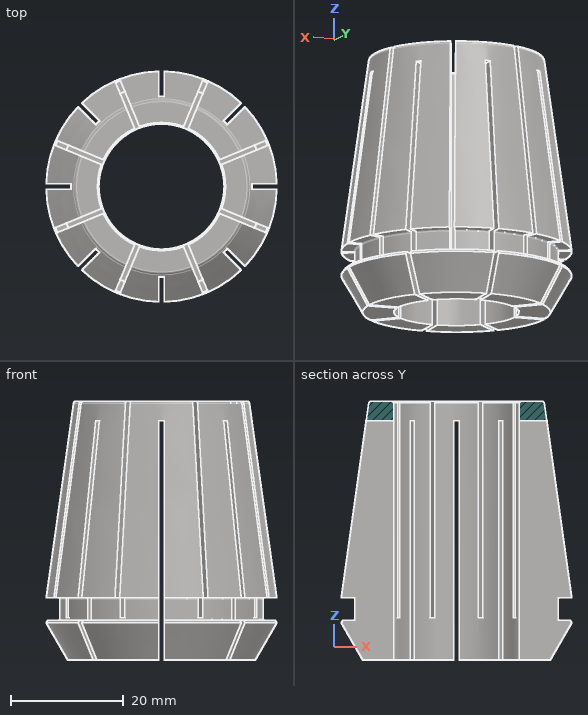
import cadquery as cq
import math

height = 46.0
max_radius = 20.495
bore_radius = 11.11
bore_chamfer = 0.28

cone_half_angle = 8.0
cone_bottom = 11.05
cone_top_radius = max_radius - (height - cone_bottom) * math.tan(math.radians(cone_half_angle))
cone_top_fillet = 0.5

groove_radius = 18.1
groove_bottom = 7.1
groove_root_fillet = 0.15
nose_half_angle = 30.0
rim_chamfer_width = 0.3
rim_chamfer_height = 0.45
rim_height = groove_bottom - rim_chamfer_height
nose_bottom_radius = max_radius - rim_height * math.tan(math.radians(nose_half_angle))

slots_per_end = 8
slot_width = 0.9
bottom_slot_end = 42.45
top_slot_floor = 7.55
slot_pitch = 360.0 / slots_per_end


def make_body():
    """Revolved collet without its slots."""
    profile = (
        cq.Workplane("XZ")
        .moveTo(bore_radius, 0)
        .lineTo(nose_bottom_radius, 0)
        .lineTo(max_radius, rim_height)
        .lineTo(max_radius - rim_chamfer_width, groove_bottom)
        .lineTo(groove_radius, groove_bottom)
        .lineTo(groove_radius, cone_bottom)
        .lineTo(max_radius, cone_bottom)
        .lineTo(cone_top_radius, height)
        .lineTo(bore_radius, height)
        .close()
    )
    body = profile.revolve(360, (0, 0, 0), (0, 1, 0))
    root_circles = body.edges("%CIRCLE").filter(
        lambda edge: math.isclose(edge.radius(), groove_radius)
    )
    body = root_circles.fillet(groove_root_fillet)
    outer_top_edge = body.faces(">Z").edges(cq.selectors.RadiusNthSelector(-1))
    body = outer_top_edge.fillet(cone_top_fillet)
    bore_top_edge = body.faces(">Z").edges(cq.selectors.RadiusNthSelector(0))
    return bore_top_edge.chamfer(bore_chamfer)


def cut_slots(body, z_start, z_end, first_angle):
    """Cut radial slots through the wall between two heights, evenly spaced around the axis."""
    blade_length = 3 * max_radius
    blade = (
        cq.Workplane("XY", origin=(0, 0, z_start))
        .rect(blade_length, slot_width)
        .extrude(z_end - z_start)
    )
    for index in range(slots_per_end // 2):
        body = body.cut(blade.rotate((0, 0, 0), (0, 0, 1), first_angle + index * slot_pitch))
    return body


result = make_body()
result = cut_slots(result, 0, bottom_slot_end, 0)
result = cut_slots(result, top_slot_floor, height, slot_pitch / 2)